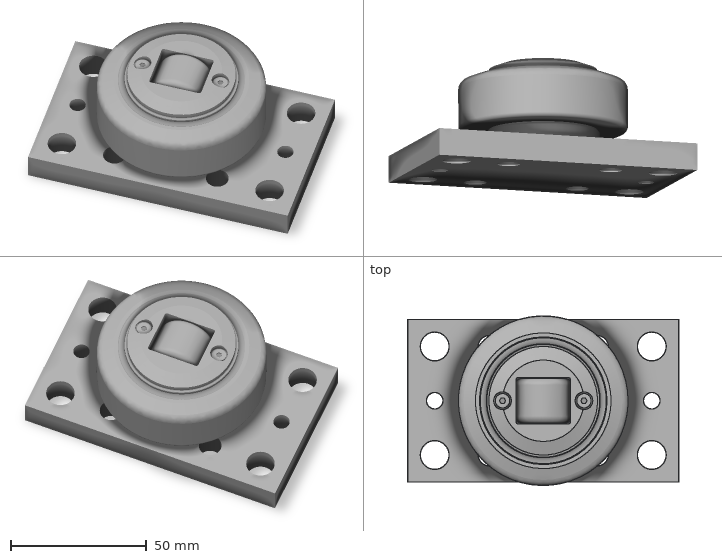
import cadquery as cq
import math

PLATE_LENGTH = 100.0
PLATE_WIDTH = 60.0
PLATE_THICKNESS = 10.0
MOUNT_HOLE_DIAMETER = 10.5
MOUNT_HOLE_X = 40.0
MOUNT_HOLE_Y = 20.0
PIN_HOLE_DIAMETER = 6.0
BOLT_HOLE_DIAMETER = 8.4
BOLT_CIRCLE_DIAMETER = 56.0
BOLT_HOLE_COUNT = 4
BOLT_START_ANGLE = 45.0

STEM_DIAMETER = 42.0
STEM_CHAMFER = 0.7
STEM_TOP = 16.7

ROLLER_DIAMETER = 62.5
ROLLER_BOTTOM = 17.0
ROLLER_TOP = 37.0
ROLLER_LOWER_FILLET = 1.4
ROLLER_UPPER_FILLET = 3.0
ROLLER_FACE_DIAMETER = 50.0
CONE_ANGLE = 20.0

RECESS_DIAMETER = 47.0
RECESS_FLOOR_DIAMETER = 46.4
RECESS_DEPTH = 0.2
RING_DIAMETER = 42.0
RING_TOP = 38.0
RING_CHAMFER = 0.2

CAP_DIAMETER = 40.0
CAP_FACE_DIAMETER = 30.0
CAP_TOP = 41.6

AXIAL_ROLLER_RADIUS = 10.5
AXIAL_ROLLER_LENGTH = 16.4
AXIAL_ROLLER_FILLET = 2.5
AXIAL_ROLLER_TOP = 43.1
WINDOW_LENGTH = 20.0
WINDOW_WIDTH = 17.2
WINDOW_CORNER_RADIUS = 0.8

SCREW_X = 15.0
SCREW_BORE_DIAMETER = 6.5
SCREW_BORE_DEPTH = 2.0
SCREW_HEAD_DIAMETER = 5.3
SCREW_HEAD_HEIGHT = 0.6
SCREW_SOCKET_CORNERS = 2.3
SCREW_SOCKET_DEPTH = 0.5

CONE_SLOPE = math.tan(math.radians(CONE_ANGLE))


def cylinder(diameter, bottom, top):
    """Cylinder on the Z axis between two heights."""
    return cq.Workplane("XY").workplane(offset=bottom).circle(diameter / 2).extrude(top - bottom)


def coned_disc(diameter, face_diameter, bottom, top):
    """Disc whose top edge is cut back by a cone to a smaller flat face."""
    radius = diameter / 2
    face_radius = face_diameter / 2
    cone_foot = top - (radius - face_radius) * CONE_SLOPE
    outline = [(0, bottom), (radius, bottom), (radius, cone_foot), (face_radius, top), (0, top)]
    return cq.Workplane("XZ").polyline(outline).close().revolve(360, (0, 0), (0, 1))


def make_plate():
    plate = cq.Workplane("XY").box(
        PLATE_LENGTH, PLATE_WIDTH, PLATE_THICKNESS, centered=(True, True, False)
    )
    top = plate.faces(">Z").workplane()
    plate = top.rarray(2 * MOUNT_HOLE_X, 2 * MOUNT_HOLE_Y, 2, 2).hole(MOUNT_HOLE_DIAMETER)
    top = plate.faces(">Z").workplane()
    plate = top.pushPoints([(-MOUNT_HOLE_X, 0), (MOUNT_HOLE_X, 0)]).hole(PIN_HOLE_DIAMETER)
    top = plate.faces(">Z").workplane()
    top = top.polarArray(BOLT_CIRCLE_DIAMETER / 2, BOLT_START_ANGLE, 360, BOLT_HOLE_COUNT)
    return top.hole(BOLT_HOLE_DIAMETER)


def make_stem():
    stem = cylinder(STEM_DIAMETER, PLATE_THICKNESS, STEM_TOP).faces(">Z").chamfer(STEM_CHAMFER)
    return stem.union(cylinder(STEM_DIAMETER - 2 * STEM_CHAMFER, STEM_TOP, ROLLER_BOTTOM))


def make_roller():
    roller = coned_disc(ROLLER_DIAMETER, ROLLER_FACE_DIAMETER, ROLLER_BOTTOM, ROLLER_TOP)
    rim = roller.edges(cq.selectors.RadiusNthSelector(-1))
    roller = rim.edges(">Z").fillet(ROLLER_UPPER_FILLET)
    roller = roller.faces("<Z").edges().fillet(ROLLER_LOWER_FILLET)
    recess_floor = ROLLER_TOP - RECESS_DEPTH
    recess = (
        cq.Workplane("XY", origin=(0, 0, recess_floor))
        .circle(RECESS_FLOOR_DIAMETER / 2)
        .workplane(offset=RECESS_DEPTH)
        .circle(RECESS_DIAMETER / 2)
        .loft()
    )
    ring = cylinder(RING_DIAMETER, recess_floor, RING_TOP).faces(">Z").chamfer(RING_CHAMFER)
    return roller.cut(recess).union(ring)


def make_cap():
    return coned_disc(CAP_DIAMETER, CAP_FACE_DIAMETER, RING_TOP, CAP_TOP)


def make_axial_roller(axis_height):
    return (
        cq.Workplane("XZ", origin=(0, AXIAL_ROLLER_LENGTH / 2, axis_height))
        .circle(AXIAL_ROLLER_RADIUS)
        .extrude(AXIAL_ROLLER_LENGTH)
        .edges()
        .fillet(AXIAL_ROLLER_FILLET)
    )


def add_axial_roller(body):
    """Open the window down to the roller axis and seat the roller in it."""
    axis_height = AXIAL_ROLLER_TOP - AXIAL_ROLLER_RADIUS
    window = (
        cq.Workplane("XY", origin=(0, 0, axis_height))
        .rect(WINDOW_LENGTH, WINDOW_WIDTH)
        .extrude(CAP_TOP - axis_height)
        .edges("|Z")
        .fillet(WINDOW_CORNER_RADIUS)
    )
    return body.cut(window).union(make_axial_roller(axis_height))


def add_screws(body):
    bore_floor = CAP_TOP - SCREW_BORE_DEPTH
    head_top = bore_floor + SCREW_HEAD_HEIGHT
    head = cylinder(SCREW_HEAD_DIAMETER, bore_floor, head_top)
    socket = (
        cq.Workplane("XY", origin=(0, 0, head_top))
        .polygon(6, SCREW_SOCKET_CORNERS)
        .extrude(-SCREW_SOCKET_DEPTH)
    )
    head = head.cut(socket)
    bore = cylinder(SCREW_BORE_DIAMETER, bore_floor, CAP_TOP)
    for x in (-SCREW_X, SCREW_X):
        body = body.cut(bore.translate((x, 0, 0)))
        body = body.union(head.translate((x, 0, 0)))
    return body


body = make_plate().union(make_stem()).union(make_roller()).union(make_cap())
body = add_axial_roller(body)
result = add_screws(body)